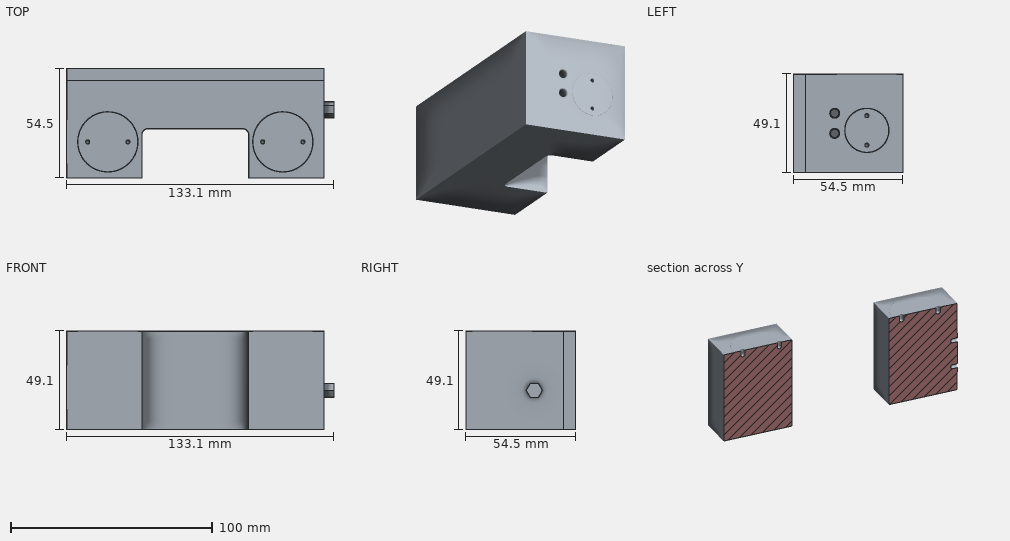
import cadquery as cq
import math

BLOCK_LENGTH = 128.0
BLOCK_DEPTH = 54.5
BLOCK_HEIGHT = 49.0
PLATE_THICKNESS = 6.0
HOUSING_DEPTH = BLOCK_DEPTH - PLATE_THICKNESS

SLOT_WIDTH = 53.0
SLOT_DEPTH = 24.5
SLOT_CORNER_RADIUS = 3.0

CAP_PROUD = 0.1
CAP_Y = 18.0
PIN_HOLE_SPACING_RATIO = 2 / 3
TOP_CAP_DIAMETER = 30.0
TOP_CAP_SPACING = 87.0
TOP_PIN_HOLE_SPACING = TOP_CAP_DIAMETER * PIN_HOLE_SPACING_RATIO
SIDE_CAP_DIAMETER = 22.0
SIDE_CAP_Z = 21.0
SIDE_PIN_HOLE_SPACING = SIDE_CAP_DIAMETER * PIN_HOLE_SPACING_RATIO

PIN_HOLE_DIAMETER = 2.0
PIN_HOLE_DEPTH = 3.0
DRILL_POINT_ANGLE = 118.0

PORT_DIAMETER = 4.13
PORT_MOUTH_DIAMETER = 4.9
PORT_DEPTH = 10.0
PORT_Y = 34.0
PORT_SPACING = 10.0
PORT_A_Z = (BLOCK_HEIGHT - PORT_SPACING) / 2
PORT_B_Z = PORT_A_Z + PORT_SPACING

PLUG_ACROSS_FLATS = 7.0
PLUG_CORNER_DIAMETER = PLUG_ACROSS_FLATS / math.cos(math.pi / 6)
PLUG_LENGTH = 5.0

LEFT_X = -BLOCK_LENGTH / 2
RIGHT_X = BLOCK_LENGTH / 2


def box_from_front(depth, front_y):
    """Full-length block resting on Z = 0 with its front face at front_y."""
    return (
        cq.Workplane("XY")
        .box(BLOCK_LENGTH, depth, BLOCK_HEIGHT, centered=(True, False, False))
        .translate((0, front_y, 0))
    )


def revolved_about_normal(plane, profile):
    """Turn a (radius, height) outline about the normal at the plane's origin."""
    axis_plane = cq.Plane(origin=plane.origin, xDir=plane.xDir, normal=-plane.yDir)
    return cq.Workplane(axis_plane).polyline(profile).close().revolve(360, (0, 0), (0, 1))


def cap(plane, diameter):
    """Thin disc on the plane whose rim is bevelled over its whole height."""
    radius = diameter / 2
    return revolved_about_normal(
        plane,
        [(0, 0), (radius, 0), (radius - CAP_PROUD, CAP_PROUD), (0, CAP_PROUD)],
    )


def pin_hole_pair(plane, spacing):
    """Two drilled blind holes spaced along the plane's local X, sunk through the cap."""
    radius = PIN_HOLE_DIAMETER / 2
    tip = -PIN_HOLE_DEPTH - radius / math.tan(math.radians(DRILL_POINT_ANGLE / 2))
    profile = [(0, CAP_PROUD), (radius, CAP_PROUD), (radius, -PIN_HOLE_DEPTH), (0, tip)]
    holes = cq.Workplane(plane)
    for offset in (-spacing / 2, spacing / 2):
        hole_plane = cq.Plane(
            origin=plane.toWorldCoords((offset, 0, 0)), xDir=plane.xDir, normal=plane.zDir
        )
        holes = holes.add(revolved_about_normal(hole_plane, profile))
    return holes.combine()


def port(z):
    """Cutter for one countersunk port bored into the -X face."""
    bore_radius = PORT_DIAMETER / 2
    mouth_radius = PORT_MOUTH_DIAMETER / 2
    countersink_depth = mouth_radius - bore_radius
    plane = cq.Plane(origin=(LEFT_X, PORT_Y, z), xDir=(0, 0, 1), normal=(-1, 0, 0))
    return revolved_about_normal(
        plane,
        [
            (0, 0),
            (mouth_radius, 0),
            (bore_radius, -countersink_depth),
            (bore_radius, -PORT_DEPTH),
            (0, -PORT_DEPTH),
        ],
    )


def make_housing():
    """U-shaped housing with its caps, spanner holes and ports."""
    slot = (
        cq.Workplane("XY")
        .box(SLOT_WIDTH, SLOT_DEPTH, BLOCK_HEIGHT, centered=(True, False, False))
        .edges("|Z and >Y")
        .fillet(SLOT_CORNER_RADIUS)
    )
    body = box_from_front(HOUSING_DEPTH, 0).cut(slot)

    side_plane = cq.Plane(origin=(LEFT_X, CAP_Y, SIDE_CAP_Z), xDir=(0, 0, 1), normal=(-1, 0, 0))
    body = body.union(cap(side_plane, SIDE_CAP_DIAMETER))
    body = body.cut(pin_hole_pair(side_plane, SIDE_PIN_HOLE_SPACING))

    for x in (-TOP_CAP_SPACING / 2, TOP_CAP_SPACING / 2):
        top_plane = cq.Plane(origin=(x, CAP_Y, BLOCK_HEIGHT), xDir=(1, 0, 0), normal=(0, 0, 1))
        body = body.union(cap(top_plane, TOP_CAP_DIAMETER))
        body = body.cut(pin_hole_pair(top_plane, TOP_PIN_HOLE_SPACING))

    for z in (PORT_A_Z, PORT_B_Z):
        body = body.cut(port(z))
    return body


def make_cover_plate():
    """Flat plate closing the back of the housing."""
    return box_from_front(PLATE_THICKNESS, HOUSING_DEPTH)


def make_plug():
    """Hexagonal plug seated on the +X face, two of its corners pointing along Y."""
    plane = cq.Plane(origin=(RIGHT_X, PORT_Y, PORT_A_Z), xDir=(0, 1, 0), normal=(1, 0, 0))
    return cq.Workplane(plane).polygon(6, PLUG_CORNER_DIAMETER).extrude(PLUG_LENGTH)


housing = make_housing()
cover_plate = make_cover_plate()
plug = make_plug()

result = cq.Compound.makeCompound([housing.val(), cover_plate.val(), plug.val()])